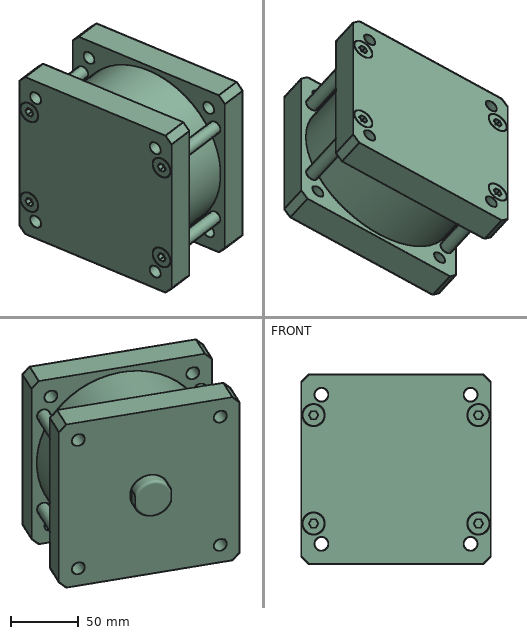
import cadquery as cq
import math

plate_size = 140.0
plate_thickness = 22.0
plate_chamfer = 5.6

barrel_diameter = 132.0
barrel_length = 44.0

rod_diameter = 30.0
rod_projection = 10.0
rod_end_radius = 2.0
rod_across_flats = 28.0
flat_run_out = 1.4
flat_run_out_rise = 0.8

mount_hole_diameter = 10.0
mount_hole_offset = 55.0

tie_diameter = 10.0
tie_offset_x = 60.8
tie_offset_z = 40.0
head_diameter = 16.0
head_height = 10.0
counterbore_diameter = 16.5
socket_across_flats = 6.0
socket_depth = 5.0

barrel_front = plate_thickness
rear_plate_front = barrel_front + barrel_length
rear_plate_back = rear_plate_front + plate_thickness
rod_end = rear_plate_back + rod_projection


def section_at(y):
    """Workplane parallel to XZ at the given Y, extruding toward +Y."""
    return cq.Workplane(cq.Plane(origin=(0, y, 0), xDir=(-1, 0, 0), normal=(0, 1, 0)))


def corner_points(offset_x, offset_z):
    """Four points mirrored about the part's X and Z centre planes."""
    return [(sx * offset_x, sz * offset_z) for sx in (-1, 1) for sz in (-1, 1)]


def cylinders(y, length, diameter, points):
    """Cylinders along +Y, starting at y, one at each point."""
    return section_at(y).pushPoints(points).circle(diameter / 2).extrude(length)


def end_plate(y):
    """Square plate with chamfered corners and four mounting holes."""
    plate = section_at(y).rect(plate_size, plate_size).extrude(plate_thickness)
    plate = plate.edges("|Y").chamfer(plate_chamfer)
    holes = corner_points(mount_hole_offset, mount_hole_offset)
    return plate.cut(cylinders(y, plate_thickness, mount_hole_diameter, holes))


def rod_flat_cutter():
    """Material outside the +X flat, with the flat sloping outward at the rear plate."""
    flat_x = rod_across_flats / 2
    outer_x = rod_diameter
    return (
        cq.Workplane("XY")
        .moveTo(flat_x, rod_end)
        .lineTo(flat_x, rear_plate_back + flat_run_out)
        .lineTo(flat_x + flat_run_out_rise, rear_plate_back)
        .lineTo(outer_x, rear_plate_back)
        .lineTo(outer_x, rod_end)
        .close()
        .extrude(rod_diameter / 2, both=True)
    )


def piston_rod_end():
    """Rounded rod end with two wrench flats facing -X and +X."""
    rod = section_at(rear_plate_back).circle(rod_diameter / 2).extrude(rod_projection)
    rod = rod.faces(">Y").edges().fillet(rod_end_radius)
    flat_cutter = rod_flat_cutter()
    return rod.cut(flat_cutter).cut(flat_cutter.mirror("YZ"))


def hex_sockets(points):
    """Hexagonal key sockets with corners pointing along X."""
    across_corners = socket_across_flats / math.cos(math.pi / 6)
    return section_at(0).pushPoints(points).polygon(6, across_corners).extrude(socket_depth)


def build():
    """Join plates, barrel, tie rods, screw heads and rod end into one solid."""
    tie_points = corner_points(tie_offset_x, tie_offset_z)
    front_plate = end_plate(0).cut(cylinders(0, head_height, counterbore_diameter, tie_points))
    barrel = section_at(barrel_front).circle(barrel_diameter / 2).extrude(barrel_length)
    heads = cylinders(0, head_height, head_diameter, tie_points).cut(hex_sockets(tie_points))
    tie_rods = cylinders(barrel_front, barrel_length, tie_diameter, tie_points)
    body = front_plate.union(barrel).union(end_plate(rear_plate_front))
    return body.union(tie_rods).union(heads).union(piston_rod_end())


result = build()